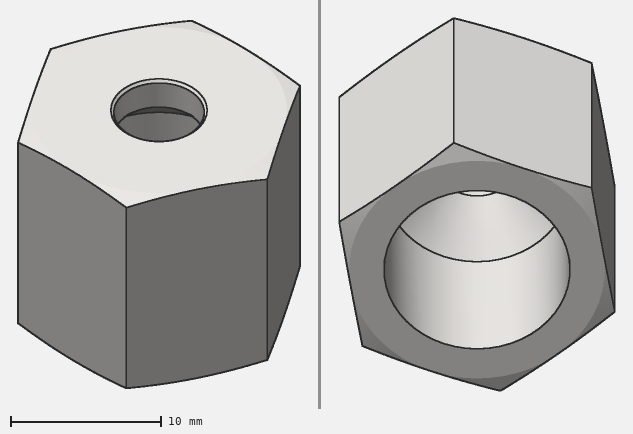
import cadquery as cq
import math

across_corners = 19.63
across_flats = across_corners * math.cos(math.radians(30))
height = 16.5
corner_chamfer_angle = 15.0

hole_diameter = 6.0
hole_edge_chamfer = 0.2
hole_depth = 2.3
bore_diameter = 12.37


def revolve_profile(points):
    """Revolve a closed (radius, height) outline around the Z axis."""
    return cq.Workplane("XZ").polyline(points).close().revolve(360, (0, 0, 0), (0, 1, 0))


def make_hexagon():
    """Hexagonal prism with its corners cut by a shallow cone at both ends."""
    prism = cq.Workplane("XY").polygon(6, across_corners).extrude(height)
    prism = prism.rotate((0, 0, 0), (0, 0, 1), 90)

    face_radius = across_flats / 2
    outer_radius = across_corners
    cone_drop = (outer_radius - face_radius) * math.tan(math.radians(corner_chamfer_angle))
    envelope = revolve_profile([
        (0, 0),
        (face_radius, 0),
        (outer_radius, cone_drop),
        (outer_radius, height - cone_drop),
        (face_radius, height),
        (0, height),
    ])
    return prism.intersect(envelope)


def make_bore():
    """Solid to remove for the through hole, its cone and the large bore."""
    hole_radius = hole_diameter / 2
    bore_radius = bore_diameter / 2
    hole_bottom = height - hole_depth
    cone_bottom = hole_bottom - (bore_radius - hole_radius)
    return revolve_profile([
        (0, 0),
        (bore_radius, 0),
        (bore_radius, cone_bottom),
        (hole_radius, hole_bottom),
        (hole_radius, height - hole_edge_chamfer),
        (hole_radius + hole_edge_chamfer, height),
        (0, height),
    ])


result = make_hexagon().cut(make_bore())